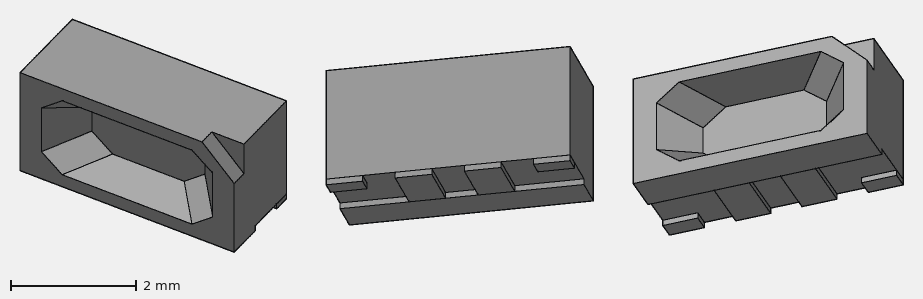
import cadquery as cq

LENGTH = 4.0
DEPTH = 1.6
HEIGHT = 2.0

OPENING_LENGTH = 3.2
OPENING_HEIGHT = 1.51
FLOOR_LENGTH = 2.11
FLOOR_HEIGHT = 1.1
CORNER_X = 0.39
CORNER_Z = 0.31
CAVITY_DEPTH = 0.65

NOTCH_LEG = 0.6
NOTCH_DEPTH = 0.3

PAD_THICKNESS = 0.1
RECESS_DEPTH = 0.95
END_PAD_DEPTH = 0.3
PAD_LENGTH = 0.6
PAD_COUNT = 4
PAD_PITCH = (LENGTH - PAD_LENGTH) / (PAD_COUNT - 1)


def rear_underside_block(length, depth, center_x):
    """Block of pad thickness, flush with the rear face and the underside."""
    return (
        cq.Workplane("XY")
        .box(length, depth, PAD_THICKNESS, centered=(True, False, False))
        .translate((center_x, DEPTH - depth, 0))
    )


def octagon_wire(length, height, y):
    """Octagon parallel to the front face, centred on the housing."""
    half_length = length / 2
    half_height = height / 2
    inner_x = half_length - CORNER_X
    inner_z = half_height - CORNER_Z
    outline = [
        (-half_length, -inner_z),
        (-inner_x, -half_height),
        (inner_x, -half_height),
        (half_length, -inner_z),
        (half_length, inner_z),
        (inner_x, half_height),
        (-inner_x, half_height),
        (-half_length, inner_z),
    ]
    points = [cq.Vector(x, y, HEIGHT / 2 + z) for x, z in outline]
    return cq.Wire.makePolygon(points, close=True)


def make_cavity():
    opening = octagon_wire(OPENING_LENGTH, OPENING_HEIGHT, 0)
    floor = octagon_wire(FLOOR_LENGTH, FLOOR_HEIGHT, CAVITY_DEPTH)
    return cq.Workplane(obj=cq.Solid.makeLoft([opening, floor], True))


def make_corner_notch():
    corner_x = LENGTH / 2
    return (
        cq.Workplane("XZ")
        .moveTo(corner_x - NOTCH_LEG, HEIGHT)
        .lineTo(corner_x, HEIGHT)
        .lineTo(corner_x, HEIGHT - NOTCH_LEG)
        .close()
        .extrude(-NOTCH_DEPTH)
    )


def make_housing():
    block = cq.Workplane("XY").box(LENGTH, DEPTH, HEIGHT, centered=(True, False, False))
    pad_recess = rear_underside_block(LENGTH, RECESS_DEPTH, 0)
    return block.cut(make_cavity()).cut(make_corner_notch()).cut(pad_recess)


def make_pad(index):
    """Contact pad: the two end pads are short, the inner pads fill the recess depth."""
    is_end_pad = index in (0, PAD_COUNT - 1)
    depth = END_PAD_DEPTH if is_end_pad else RECESS_DEPTH
    center_x = (index - (PAD_COUNT - 1) / 2) * PAD_PITCH
    return rear_underside_block(PAD_LENGTH, depth, center_x)


housing = make_housing()
pads = [make_pad(index) for index in range(PAD_COUNT)]

result = cq.Compound.makeCompound([housing.val(), *[pad.val() for pad in pads]])